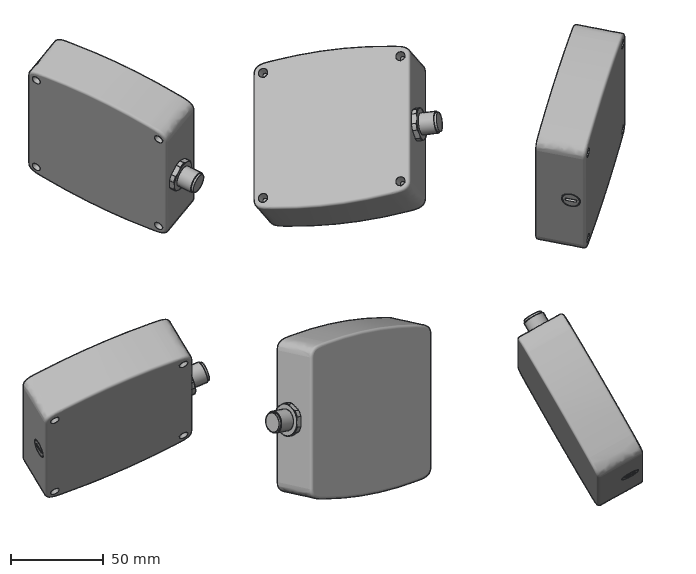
import cadquery as cq
import math

total_length = 102.0
box_width = 88.9
box_depth = 28.2
box_height = 91.0
edge_radius = 1.5
crown_half_width = 33.4
crown_end_height = 43.2
side_half_height = 36.3

recess_offset_x = 39.0
recess_mouth_radius = 2.5
recess_floor_radius = 1.3
recess_depth = 4.1

plug_y = -5.8
plug_radius = 4.8
plug_gap = 0.4
plug_gap_depth = 1.0
slot_length = 6.3
slot_width = 1.8
slot_depth = 1.5

connector_y = -3.1
nut_thickness = 3.1
nut_across_flats = 17.2
nut_corner_radius = 9.1
nut_chamfer = 0.4
barrel_radius = 6.0
barrel_end = 11.7
tip_radius = 5.3

half_width = box_width / 2
half_height = box_height / 2
front_y = -box_depth / 2
crown_rise = half_height - crown_end_height
crown_radius = (crown_half_width**2 + crown_rise**2) / (2 * crown_rise)
crown_end_angle = math.asin(crown_half_width / crown_radius)


def make_body():
    """Box with bowed top and bottom, smooth corners and rounded front and back edges."""
    slope_x = math.cos(crown_end_angle)
    slope_z = math.sin(crown_end_angle)
    outline = (
        cq.Workplane("XZ", origin=(0, box_depth / 2, 0))
        .moveTo(-half_width, -side_half_height)
        .lineTo(-half_width, side_half_height)
        .spline([(-crown_half_width, crown_end_height)],
                tangents=[(0, 1), (slope_x, slope_z)], includeCurrent=True)
        .threePointArc((0, half_height), (crown_half_width, crown_end_height))
        .spline([(half_width, side_half_height)],
                tangents=[(slope_x, -slope_z), (0, -1)], includeCurrent=True)
        .lineTo(half_width, -side_half_height)
        .spline([(crown_half_width, -crown_end_height)],
                tangents=[(0, -1), (-slope_x, -slope_z)], includeCurrent=True)
        .threePointArc((0, -half_height), (-crown_half_width, -crown_end_height))
        .spline([(-half_width, -side_half_height)],
                tangents=[(-slope_x, slope_z), (0, 1)], includeCurrent=True)
        .close()
    )
    body = outline.extrude(box_depth)
    return body.faces("<Y or >Y").edges().fillet(edge_radius)


def make_screw_recess(x, z):
    """Conical recess going into the front face."""
    cone = cq.Solid.makeCone(recess_mouth_radius, recess_floor_radius, recess_depth,
                             cq.Vector(x, front_y, z), cq.Vector(0, 1, 0))
    return cq.Workplane(cone)


def make_plug_cuts():
    """Ring-shaped gap around the plug, and its screwdriver slot."""
    left_face = cq.Workplane("YZ", origin=(-half_width, plug_y, 0))
    gap = left_face.circle(plug_radius + plug_gap).circle(plug_radius).extrude(plug_gap_depth)
    slot = left_face.slot2D(slot_length, slot_width).extrude(slot_depth)
    return gap.union(slot)


def make_connector():
    """Hexagonal nut with turned corners, then a barrel with a stepped tip."""
    right_face = cq.Workplane("YZ", origin=(half_width, connector_y, 0))
    hex_diameter = nut_across_flats / math.cos(math.pi / 6)
    hexagon = right_face.transformed(rotate=(0, 0, 90)).polygon(6, hex_diameter).extrude(nut_thickness)
    turned_disc = right_face.circle(nut_corner_radius).extrude(nut_thickness)
    turned_disc = turned_disc.faces(">X").edges().chamfer(nut_chamfer)
    barrel = right_face.circle(barrel_radius).extrude(barrel_end)
    tip = right_face.circle(tip_radius).extrude(total_length - box_width)
    return hexagon.intersect(turned_disc).union(barrel).union(tip)


result = make_body()
for x in (-recess_offset_x, recess_offset_x):
    for z in (-side_half_height, side_half_height):
        result = result.cut(make_screw_recess(x, z))
result = result.cut(make_plug_cuts()).union(make_connector())